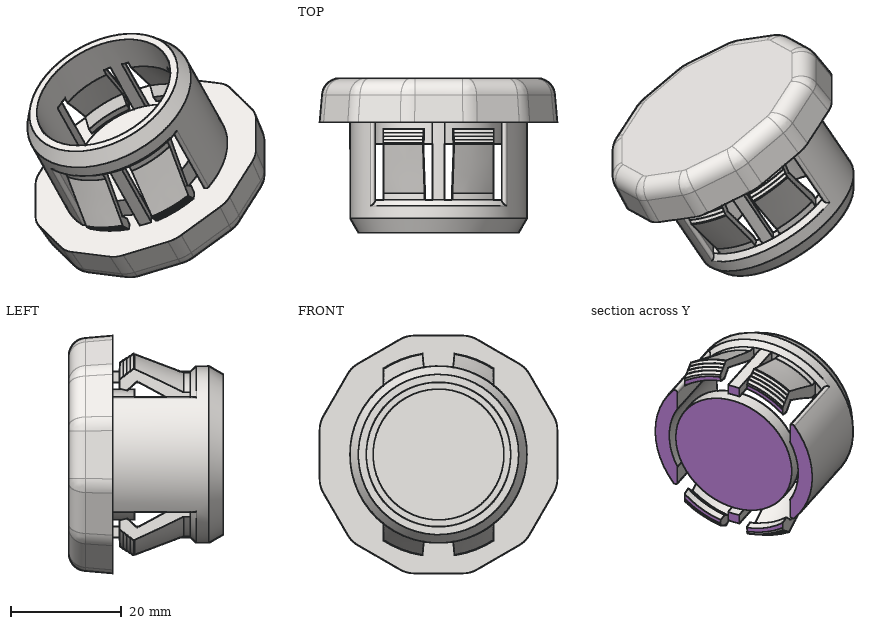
import cadquery as cq
import math


overall_length = 28.0

cap_width = 43.0
cap_sides = 12
cap_thickness = 8.0
cap_draft = 5.0
cap_corner_radius = 5.15
cap_edge_radius = 3.3

barrel_radius = 32.0 / 2
bore_radius = 26.1 / 2
barrel_length = overall_length - cap_thickness
lead_in_length = 2.62
lead_in_angle = 30.0
boss_radius = 23.65 / 2
boss_height = 3.95

window_half_width = 11.4
window_length = 14.0
rim_rounding = 0.5
rim_length = 15.05
rim_radius = 15.0
rib_width = 2.25

arm_inner_offset = 2.6
arm_outer_offset = 9.98
arm_side_angle = 5.0
root_start = 12.8
tip_gap = 1.3
heel_gap = 1.2
heel_radius = 15.52
hook_depth = 2.62
hook_radius = 15.25
elbow_depth = 4.4
elbow_radius = 16.5
tooth_start_radius = 16.8
crown_radius = 18.35
crown_start = 3.75
crown_end = 3.95
tooth_count = 4
tooth_drop = 0.108

reach = cap_width


def turned(points):
    """Revolve (radius, distance from seat) points about the Y axis."""
    profile = [(radius, -depth) for radius, depth in points]
    return cq.Workplane("XY").polyline(profile).close().revolve(360, (0, 0, 0), (0, 1, 0))


def both_ends(body):
    """Join a body on the +Z side with its mirror image on the -Z side."""
    return body.union(body.mirror("XY"))


def make_cap():
    body = (
        cq.Workplane("ZX")
        .polygon(cap_sides, cap_width, circumscribed=True)
        .extrude(cap_thickness, taper=cap_draft)
    )
    body = body.edges("not(<Y or >Y)").fillet(cap_corner_radius)
    return body.faces(">Y").edges().fillet(cap_edge_radius)


def make_barrel():
    end_radius = barrel_radius - lead_in_length * math.tan(math.radians(lead_in_angle))
    return turned([
        (bore_radius, 0),
        (barrel_radius, 0),
        (barrel_radius, barrel_length - lead_in_length),
        (end_radius, barrel_length),
        (bore_radius, barrel_length),
    ])


def make_window_rim():
    """Recess around one window: a cone at its end and roundings along its sides."""
    bevel_rise = barrel_radius - rim_radius
    bevel_run = rim_length - window_length
    ring = turned([
        (rim_radius, 0),
        (rim_radius, window_length),
        (rim_radius + 2 * bevel_rise, window_length + 2 * bevel_run),
        (rim_radius + 2 * bevel_rise, 0),
    ])
    center_distance = barrel_radius - rim_rounding
    center_x = window_half_width + rim_rounding
    center_z = math.sqrt(center_distance**2 - center_x**2)
    end_angle = math.atan2(center_z, center_x)
    middle_angle = (math.pi + end_angle) / 2

    def on_rounding(angle):
        return (center_x + rim_rounding * math.cos(angle), center_z + rim_rounding * math.sin(angle))

    end_x, end_z = on_rounding(end_angle)
    tangent_length = 2 * rim_rounding
    outside = (
        end_x + tangent_length * math.sin(end_angle),
        end_z - tangent_length * math.cos(end_angle),
    )
    half_opening = (
        cq.Workplane("XZ")
        .moveTo(0, center_z)
        .lineTo(window_half_width, center_z)
        .threePointArc(on_rounding(middle_angle), (end_x, end_z))
        .lineTo(*outside)
        .lineTo(outside[0], reach)
        .lineTo(0, reach)
        .close()
        .extrude(reach)
    )
    return ring.intersect(half_opening.union(half_opening.mirror("YZ")))


def make_ribs():
    """One rib across the middle of each window."""
    ring = turned([
        (bore_radius, 0),
        (rim_radius, 0),
        (rim_radius, window_length),
        (bore_radius, window_length),
    ])
    return ring.intersect(cq.Workplane("XY").box(rib_width, reach, reach))


def make_arms():
    """Four snap arms, cut from one turned ring."""
    profile = [
        (bore_radius, window_length),
        (bore_radius, root_start),
        (elbow_radius, elbow_depth),
        (hook_radius, hook_depth),
        (heel_radius, heel_gap),
        (tooth_start_radius, tip_gap),
    ]
    tooth_length = (crown_start - tip_gap) / tooth_count
    tooth_rise = (crown_radius - tooth_start_radius) / tooth_count
    for tooth in range(1, tooth_count + 1):
        foot_radius = tooth_start_radius + tooth * tooth_rise
        depth = tip_gap + tooth * tooth_length
        profile.append((foot_radius + tooth_drop, depth))
        profile.append((foot_radius, depth))
    profile += [
        (crown_radius, crown_end),
        (rim_radius, root_start),
        (rim_radius, window_length),
    ]

    lean = math.tan(math.radians(arm_side_angle))
    inner_at_axis = arm_inner_offset - rim_radius * lean
    inner_at_reach = inner_at_axis + reach * lean
    side = (
        cq.Workplane("XZ")
        .moveTo(inner_at_axis, 0)
        .lineTo(arm_outer_offset, 0)
        .lineTo(arm_outer_offset, reach)
        .lineTo(inner_at_reach, reach)
        .close()
        .extrude(reach)
    )
    pair = side.union(side.mirror("YZ"))
    return both_ends(turned(profile).intersect(pair))


window = cq.Workplane("XY").box(2 * window_half_width, 2 * window_length, reach)
boss = cq.Workplane("XZ").circle(boss_radius).extrude(boss_height)
barrel = make_barrel().cut(window).cut(both_ends(make_window_rim()))
result = make_cap().union(barrel).union(boss).union(make_ribs()).union(make_arms())